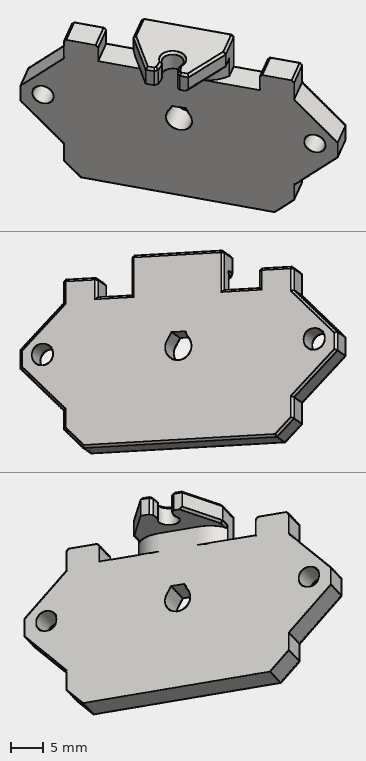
import cadquery as cq
import math

overall_width = 50.84
overall_height = 29.81
overall_depth = 11.9
plate_thickness = 4.9
body_half_width = 18.45
bottom_z = -15.0
left_bottom_corner = 2.75
right_bottom_corner = 3.12
ear_mid_z = -0.5
ear_tip_height = 2.9
tab_inner_x = 12.95
tab_top_z = 11.65
notch_floor_z = 8.58
edge_chamfer = 0.4

ear_hole_diameter = 3.4
ear_hole_x = 21.78
teardrop_radius = 2.1
teardrop_top_z = 2.35
teardrop_tangent_angle = math.radians(30)

hook_centre_x = 0.1
hook_half_width = 7.39
hook_bottom_z = tab_top_z
tip_half_width = 3.43

slot_seat_radius = 1.7
slot_seat_y = -3.89
slot_throat_half_width = 1.4
slot_throat_end_y = -5.45
slot_mouth_half_width = 1.56
slot_mouth_chamfer = 0.47

neck_front_half_width = 3.28
neck_radius = 5.0
neck_turn = math.radians(45)

top_z = bottom_z + overall_height
ear_tip_x = overall_width / 2
ear_root_rise = ear_tip_x - body_half_width
ear_upper_z = ear_mid_z + ear_tip_height / 2
ear_lower_z = ear_mid_z - ear_tip_height / 2
tip_y = plate_thickness - overall_depth
hook_side_angle = math.atan2(-tip_y, hook_half_width - tip_half_width)


def neck_arc_point(angle):
    """Point on the right neck corner after turning by angle from the front face."""
    x = neck_front_half_width + neck_radius * math.sin(angle)
    y = neck_radius * (1 - math.cos(angle))
    return (x, y)


neck_flat_start = neck_arc_point(neck_turn)
neck_flat_run = hook_half_width - neck_flat_start[0]
neck_flat_end_y = neck_flat_start[1] + neck_flat_run * math.tan(neck_turn)


def mirrored(points):
    """Mirror a point chain about x = 0 and reverse its order."""
    return [(-x, v) for x, v in reversed(points)]


def plate_side(bottom_corner):
    """Right-hand outline of the plate, from the bottom edge up to the notch floor."""
    return [
        (body_half_width - bottom_corner, bottom_z),
        (body_half_width, bottom_z + bottom_corner),
        (body_half_width, ear_lower_z - ear_root_rise),
        (ear_tip_x, ear_lower_z),
        (ear_tip_x, ear_upper_z),
        (body_half_width, ear_upper_z + ear_root_rise),
        (body_half_width, tab_top_z),
        (tab_inner_x, tab_top_z),
        (tab_inner_x, notch_floor_z),
    ]


def plate():
    outline = plate_side(right_bottom_corner) + mirrored(plate_side(left_bottom_corner))
    return cq.Workplane("XZ").polyline(outline).close().extrude(-plate_thickness)


def hook_block():
    height = top_z - notch_floor_z
    block = cq.Workplane("XY").box(
        2 * hook_half_width, plate_thickness, height, centered=(True, False, False)
    )
    return block.translate((0, 0, notch_floor_z))


def hook_arm():
    right_half = [
        (tip_half_width, tip_y),
        (hook_half_width, 0),
        (hook_half_width, plate_thickness),
    ]
    outline = right_half + mirrored(right_half)
    arm = cq.Workplane("XY").workplane(offset=hook_bottom_z).polyline(outline).close()
    return arm.extrude(top_z - hook_bottom_z)


def slot_cutter():
    throat_y = slot_seat_y - math.sqrt(slot_seat_radius**2 - slot_throat_half_width**2)
    chamfer_y = tip_y + slot_mouth_chamfer
    mouth_x = slot_mouth_half_width + slot_mouth_chamfer
    return (
        cq.Workplane("XY")
        .workplane(offset=hook_bottom_z)
        .moveTo(slot_throat_half_width, throat_y)
        .threePointArc((0, slot_seat_y + slot_seat_radius), (-slot_throat_half_width, throat_y))
        .lineTo(-slot_throat_half_width, slot_throat_end_y)
        .lineTo(-slot_mouth_half_width, chamfer_y)
        .lineTo(-mouth_x, tip_y)
        .lineTo(mouth_x, tip_y)
        .lineTo(slot_mouth_half_width, chamfer_y)
        .lineTo(slot_throat_half_width, slot_throat_end_y)
        .close()
        .extrude(top_z - hook_bottom_z)
    )


def neck_corner_cutter():
    """Material removed from the right front corner of the block below the hook."""
    return (
        cq.Workplane("XY")
        .workplane(offset=notch_floor_z)
        .moveTo(neck_front_half_width, 0)
        .threePointArc(neck_arc_point(neck_turn / 2), neck_flat_start)
        .lineTo(hook_half_width, neck_flat_end_y)
        .lineTo(hook_half_width, 0)
        .close()
        .extrude(hook_bottom_z - notch_floor_z)
    )


def ear_holes():
    return (
        cq.Workplane("XZ")
        .pushPoints([(-ear_hole_x, 0), (ear_hole_x, 0)])
        .circle(ear_hole_diameter / 2)
        .extrude(-plate_thickness)
    )


def teardrop_hole():
    """Round hole whose top closes along two tangents, cut off by a flat."""
    tangent_x = teardrop_radius * math.cos(teardrop_tangent_angle)
    tangent_z = teardrop_radius * math.sin(teardrop_tangent_angle)
    flat_half_width = (
        teardrop_radius - teardrop_top_z * math.sin(teardrop_tangent_angle)
    ) / math.cos(teardrop_tangent_angle)
    return (
        cq.Workplane("XZ")
        .moveTo(tangent_x, tangent_z)
        .threePointArc((0, -teardrop_radius), (-tangent_x, tangent_z))
        .lineTo(-flat_half_width, teardrop_top_z)
        .lineTo(flat_half_width, teardrop_top_z)
        .close()
        .extrude(-plate_thickness)
    )


def underside_bevel():
    """45 degree wedge along the hook's right lower side, running along Y."""
    return (
        cq.Workplane("XZ", origin=(0, neck_flat_end_y, 0))
        .moveTo(hook_half_width, hook_bottom_z)
        .lineTo(hook_half_width - edge_chamfer, hook_bottom_z)
        .lineTo(hook_half_width, hook_bottom_z + edge_chamfer)
        .close()
        .extrude(neck_flat_end_y - tip_y)
    )


def slanted_bevel():
    """45 degree bevel under the right slanted side of the hook arm."""
    side_length = -tip_y / math.sin(hook_side_angle)
    outward = cq.Vector(math.sin(hook_side_angle), -math.cos(hook_side_angle), 0)
    along = cq.Vector(math.cos(hook_side_angle), math.sin(hook_side_angle), 0)
    overrun = edge_chamfer
    start = cq.Vector(tip_half_width, tip_y, hook_bottom_z) - along * overrun
    return (
        cq.Workplane(cq.Plane(start, outward, along))
        .polyline([(-edge_chamfer, 0), (edge_chamfer, 0), (edge_chamfer, -2 * edge_chamfer)])
        .close()
        .extrude(side_length + overrun)
    )


def undercut():
    """Everything removed below the hook: neck corners and underside bevels."""
    right_side = neck_corner_cutter().union(underside_bevel())
    return right_side.union(right_side.mirror("YZ")).union(slanted_bevel())


def chamfer_edges(body):
    """Chamfer the back outline, the hook's top outline and the tab tops."""
    margin = edge_chamfer / 4
    tab_level = cq.selectors.BoxSelector(
        (-body_half_width - margin, 0, tab_top_z - margin),
        (body_half_width + margin, plate_thickness, tab_top_z + margin),
    )
    edges = body.faces(">Y").edges()
    edges = edges.add(body.faces(">Z").edges())
    edges = edges.add(body.edges("|Y").edges(tab_level))
    return edges.chamfer(edge_chamfer)


hook_offset = (hook_centre_x, 0, 0)
hook = hook_block().union(hook_arm()).cut(slot_cutter())

body = chamfer_edges(plate().union(hook.translate(hook_offset)))
body = body.cut(undercut().translate(hook_offset))

result = body.cut(ear_holes()).cut(teardrop_hole())